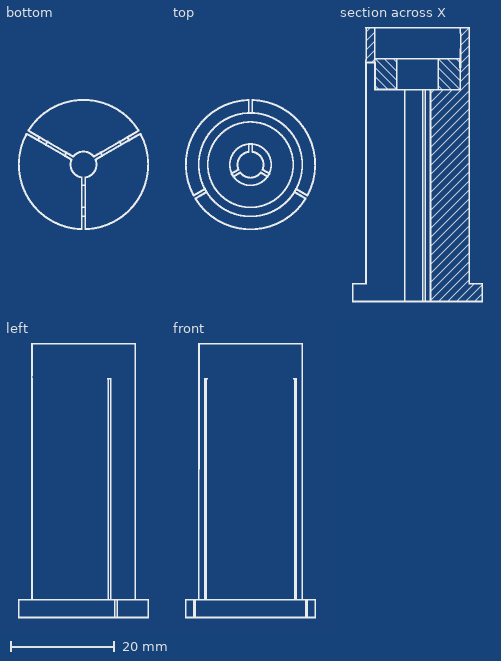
import cadquery as cq

total_height = 52.9
flange_diameter = 25.0
flange_thickness = 3.5
tube_diameter = 20.0
tip_bore_diameter = 4.95

slot_count = 3
slot_width = 0.65
slot_height = 46.15
first_slot_angle = 90.0

pocket_diameter = 16.5
mouth_depth = 6.0
insert_height = 6.0
insert_bore_diameter = 8.0

insert_top = total_height - mouth_depth
pocket_floor = insert_top - insert_height


def cylinder(diameter, bottom, top):
    """Upright cylinder on the Z axis between two heights."""
    return cq.Workplane("XY").workplane(offset=bottom).circle(diameter / 2).extrude(top - bottom)


def make_slot(angle):
    """Radial slot cutter running outward from the axis at the given angle."""
    slot = cq.Workplane("XY").box(
        flange_diameter, slot_width, slot_height, centered=(False, True, False)
    )
    return slot.rotate((0, 0, 0), (0, 0, 1), angle)


def make_collet():
    """Flanged tube with a top pocket, a narrow bore and radial slots."""
    collet = cylinder(flange_diameter, 0, flange_thickness)
    collet = collet.union(cylinder(tube_diameter, 0, total_height))
    collet = collet.cut(cylinder(pocket_diameter, pocket_floor, total_height))
    collet = collet.cut(cylinder(tip_bore_diameter, 0, pocket_floor))
    for index in range(slot_count):
        collet = collet.cut(make_slot(first_slot_angle + index * 360 / slot_count))
    return collet


def make_insert():
    """Ring that fills the lower part of the collet pocket."""
    ring = cylinder(pocket_diameter, pocket_floor, insert_top)
    return ring.cut(cylinder(insert_bore_diameter, pocket_floor, insert_top))


collet = make_collet()
insert = make_insert()

result = cq.Compound.makeCompound([collet.val(), insert.val()])